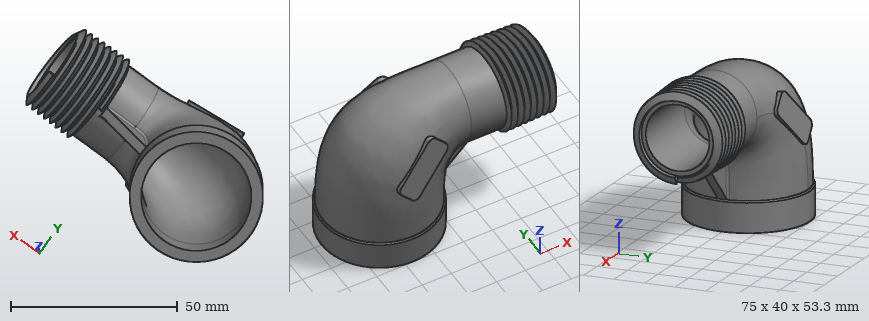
import cadquery as cq
import math


FULL_TURN = 360
QUARTER_TURN = 90

SOCKET_DIAMETER = 40.0
SOCKET_HEIGHT = 10.0
SOCKET_CHAMFER = 0.5

TUBE_RADIUS = 13.3
TUBE_START_X = 24.2
TUBE_AXIS_Z = 38.5

BODY_BASE_RADIUS = 19.4
BODY_STATIONS = 9
SIDE_FLATTENING = 0.8
SEAM_ANGLE = 90
OUTER_RISE = 25.5
OUTER_RUN = 38.0
INNER_RISE = 13.0
INNER_RUN = 3.5

BORE_DIAMETER = 20.84
WALL = TUBE_RADIUS - BORE_DIAMETER / 2

THREAD_PITCH = 2.25
THREAD_TURNS = 8
THREAD_LENGTH = THREAD_PITCH * THREAD_TURNS
THREAD_CREST_RADIUS = 14.84
THREAD_HALF_ANGLE = math.radians(30)
THREAD_TAPER = 1 / 32
RIDGE_HEIGHT = 2.46
RIDGE_HALF_BASE = RIDGE_HEIGHT * math.tan(THREAD_HALF_ANGLE)
RIDGE_GAP = 0.06
CORE_DEPTH = 1.84
PART_END_X = 54.97
THREAD_END_X = PART_END_X - RIDGE_HALF_BASE
THREAD_START_X = THREAD_END_X - THREAD_LENGTH
CORE_START_X = THREAD_START_X + THREAD_PITCH / 2
CORE_END_X = PART_END_X - THREAD_PITCH

WEB_THICKNESS = 3.0
WEB_FILLET = 0.8
WEB_ROOT_DEPTH = 0.8

PAD_LENGTH = 20.0
PAD_WIDTH = 8.5
PAD_CORNER_RADIUS = 2.0
PAD_DEPTH = 4.0
PAD_CENTER = (5.4, 33.8)
PAD_FACE_Y = 17.5
PAD_TILT = 45.0
PAD_LEAN = 11.0
PAD_SIDE_LEAN = -3.5


def bezier(points, t):
    """Point at parameter t on the cubic Bezier curve with four control points."""
    weights = ((1 - t) ** 3, 3 * t * (1 - t) ** 2, 3 * t ** 2 * (1 - t), t ** 3)
    x = sum(w * p[0] for w, p in zip(weights, points))
    z = sum(w * p[1] for w, p in zip(weights, points))
    return x, z


def bend(growth=0.0):
    """Curved body whose surface lies the given distance outside the nominal one."""
    tube_top = TUBE_AXIS_Z + TUBE_RADIUS
    tube_bottom = TUBE_AXIS_Z - TUBE_RADIUS
    outer_curve = (
        (-BODY_BASE_RADIUS, SOCKET_HEIGHT),
        (-BODY_BASE_RADIUS, SOCKET_HEIGHT + OUTER_RISE),
        (TUBE_START_X - OUTER_RUN, tube_top),
        (TUBE_START_X, tube_top),
    )
    inner_curve = (
        (BODY_BASE_RADIUS, SOCKET_HEIGHT),
        (BODY_BASE_RADIUS, SOCKET_HEIGHT + INNER_RISE),
        (TUBE_START_X - INNER_RUN, tube_bottom),
        (TUBE_START_X, tube_bottom),
    )
    rings = []
    for station in range(BODY_STATIONS):
        t = station / (BODY_STATIONS - 1)
        outer_x, outer_z = bezier(outer_curve, t)
        inner_x, inner_z = bezier(inner_curve, t)
        chord_x = inner_x - outer_x
        chord_z = inner_z - outer_z
        half_height = math.hypot(chord_x, chord_z) / 2 + growth
        half_width = half_height - SIDE_FLATTENING * math.sin(math.pi * t) ** 2
        ring = cq.Edge.makeEllipse(
            half_height,
            half_width,
            cq.Vector((outer_x + inner_x) / 2, 0, (outer_z + inner_z) / 2),
            cq.Vector(-chord_z, 0, chord_x),
            cq.Vector(chord_x, 0, chord_z),
            SEAM_ANGLE,
            SEAM_ANGLE + FULL_TURN,
        )
        rings.append(cq.Wire.assembleEdges([ring]))
    return cq.Workplane(cq.Solid.makeLoft(rings))


def socket_band():
    """Plain band around the socket mouth, chamfered on its upper edge."""
    band = cq.Workplane("XY").circle(SOCKET_DIAMETER / 2).extrude(SOCKET_HEIGHT)
    return band.faces(">Z").chamfer(SOCKET_CHAMFER)


def x_cylinder(radius, start_x, end_x):
    """Cylinder on the tube axis."""
    plane = cq.Workplane("YZ", origin=(start_x, 0, TUBE_AXIS_Z))
    return plane.circle(radius).extrude(end_x - start_x)


def webbed_body():
    """Bend and tube with the filleted 45 degree web across the inside corner.

    A rectangular web is filleted to the body first, then cut back along its slope.
    """
    tube = x_cylinder(TUBE_RADIUS, TUBE_START_X, CORE_START_X)
    root_x = BODY_BASE_RADIUS - WEB_ROOT_DEPTH
    root_z = TUBE_AXIS_Z - TUBE_RADIUS + WEB_ROOT_DEPTH
    web = (
        cq.Workplane("XZ")
        .moveTo(root_x, SOCKET_HEIGHT)
        .lineTo(CORE_START_X, SOCKET_HEIGHT)
        .lineTo(CORE_START_X, root_z)
        .lineTo(root_x, root_z)
        .close()
        .extrude(WEB_THICKNESS / 2, both=True)
    )
    joined = bend().union(tube).union(web)
    rim_edges = joined.faces("<Z or >X").edges().vals()
    foot_edges = [
        edge
        for edge in joined.faces("|Y").edges().vals()
        if not any(edge.isSame(rim_edge) for rim_edge in rim_edges)
    ]
    filleted = joined.newObject(foot_edges).fillet(WEB_FILLET)
    beyond_slope = (
        cq.Workplane("XZ")
        .moveTo(BODY_BASE_RADIUS, SOCKET_HEIGHT)
        .lineTo(CORE_START_X, SOCKET_HEIGHT)
        .lineTo(CORE_START_X, SOCKET_HEIGHT + CORE_START_X - BODY_BASE_RADIUS)
        .close()
        .extrude(WEB_THICKNESS, both=True)
    )
    return filleted.cut(beyond_slope.cut(tube))


def marking_pads():
    """Rounded plates on the -Y and +Y sides, flat outside and leaning in toward the tube."""
    pad_x, pad_z = PAD_CENTER
    plate = (
        cq.Workplane("XZ")
        .rect(PAD_LENGTH, PAD_WIDTH)
        .extrude(PAD_DEPTH)
        .edges("|Y")
        .fillet(PAD_CORNER_RADIUS)
        .translate((0, PAD_DEPTH, 0))
        .rotate((0, 0, 0), (1, 0, 0), PAD_SIDE_LEAN)
        .rotate((0, 0, 0), (0, 0, 1), PAD_LEAN)
        .rotate((0, 0, 0), (0, 1, 0), -PAD_TILT)
        .translate((pad_x, -PAD_FACE_Y, pad_z))
    )
    return plate.union(plate.mirror("XZ"))


def thread_core():
    """Cone under the thread ridge, just above the line where neighbouring flanks meet."""
    start_radius = THREAD_CREST_RADIUS - CORE_DEPTH - (CORE_START_X - THREAD_START_X) * THREAD_TAPER
    length = CORE_END_X - CORE_START_X
    return cq.Workplane(
        cq.Solid.makeCone(
            start_radius,
            start_radius - length * THREAD_TAPER,
            length,
            cq.Vector(CORE_START_X, 0, TUBE_AXIS_Z),
            cq.Vector(1, 0, 0),
        )
    )


def thread_ridge():
    """Right-hand helical ridge that starts and ends at the underside of the tube."""
    base_radius = THREAD_CREST_RADIUS - RIDGE_HEIGHT
    rear_foot = RIDGE_HALF_BASE - THREAD_PITCH + RIDGE_GAP
    rear_root = -(THREAD_PITCH - RIDGE_GAP) / 2
    root_radius = THREAD_CREST_RADIUS + rear_root / math.tan(THREAD_HALF_ANGLE)
    taper_angle = math.degrees(math.atan(THREAD_TAPER))
    helix = cq.Wire.makeHelix(
        THREAD_PITCH, THREAD_LENGTH, THREAD_CREST_RADIUS, angle=-taper_angle
    )
    profile = (
        cq.Workplane("XZ")
        .moveTo(THREAD_CREST_RADIUS, 0)
        .lineTo(base_radius, RIDGE_HALF_BASE)
        .lineTo(base_radius, rear_foot)
        .lineTo(root_radius, rear_root)
        .close()
    )
    ridge = profile.sweep(cq.Workplane(helix), isFrenet=True)
    ridge = ridge.rotate((0, 0, 0), (0, 1, 0), QUARTER_TURN)
    return ridge.translate((THREAD_START_X, 0, TUBE_AXIS_Z))


def waterway():
    """Passage through the part, running from the open socket to the threaded end."""
    socket_bore = cq.Workplane("XY").circle(BODY_BASE_RADIUS - WALL).extrude(SOCKET_HEIGHT)
    tube_bore = x_cylinder(BORE_DIAMETER / 2, TUBE_START_X, PART_END_X)
    return socket_bore.union(bend(-WALL)).union(tube_bore)


body = webbed_body()
body = body.union(socket_band()).union(marking_pads())
body = body.union(thread_core())
body = body.cut(waterway())
result = body.union(thread_ridge())